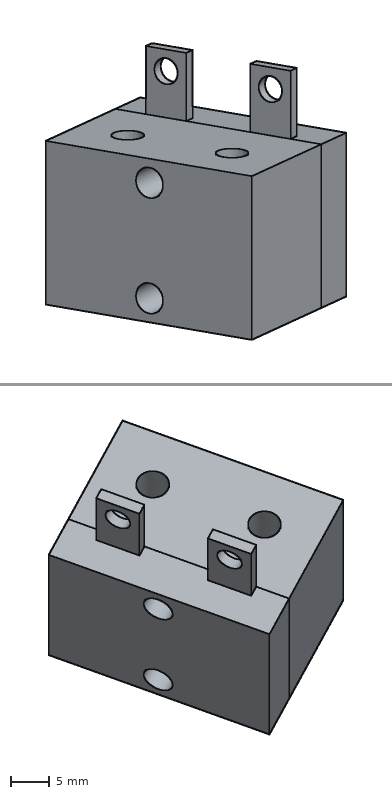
import cadquery as cq

width = 31.75
total_depth = 23.88
total_height = 31.75
cover_depth = 6.35
housing_depth = total_depth - cover_depth

tab_width = 6.22
tab_thickness = 1.62
tab_height = 9.35
tab_hole_diameter = 3.55
tab_hole_from_top = 3.0
block_height = total_height - tab_height

terminal_spacing = 16.05
terminal_centers = [width / 2 - terminal_spacing / 2, width / 2 + terminal_spacing / 2]
wire_hole_diameter = 4.32
wire_hole_from_front = 7.87

mount_hole_diameter = 4.15
mount_hole_x = 16.0
mount_hole_edge_distance = 3.3
mount_hole_heights = [mount_hole_edge_distance, block_height - mount_hole_edge_distance]


def make_box(x_size, y_size, z_size, origin):
    """Box whose minimum corner is at origin."""
    return cq.Workplane("XY").box(x_size, y_size, z_size, centered=False).translate(origin)


def cross_hole(diameter, x, z):
    """Cylinder along Y, as long as the whole part is deep."""
    return cq.Workplane("XZ").center(x, z).circle(diameter / 2).extrude(-total_depth)


def cut_mount_holes(body):
    for height in mount_hole_heights:
        body = body.cut(cross_hole(mount_hole_diameter, mount_hole_x, height))
    return body


def make_housing():
    body = cut_mount_holes(make_box(width, housing_depth, block_height, (0, 0, 0)))
    hole_centers = [(x, wire_hole_from_front) for x in terminal_centers]
    wire_holes = cq.Workplane("XY").pushPoints(hole_centers).circle(wire_hole_diameter / 2)
    return body.cut(wire_holes.extrude(block_height))


def make_cover():
    return cut_mount_holes(make_box(width, cover_depth, block_height, (0, housing_depth, 0)))


def make_tab(center_x):
    origin = (center_x - tab_width / 2, housing_depth, block_height)
    body = make_box(tab_width, tab_thickness, tab_height, origin)
    return body.cut(cross_hole(tab_hole_diameter, center_x, total_height - tab_hole_from_top))


housing = make_housing()
cover = make_cover()
tabs = [make_tab(x) for x in terminal_centers]

result = cq.Compound.makeCompound([housing.val(), cover.val(), *[tab.val() for tab in tabs]])